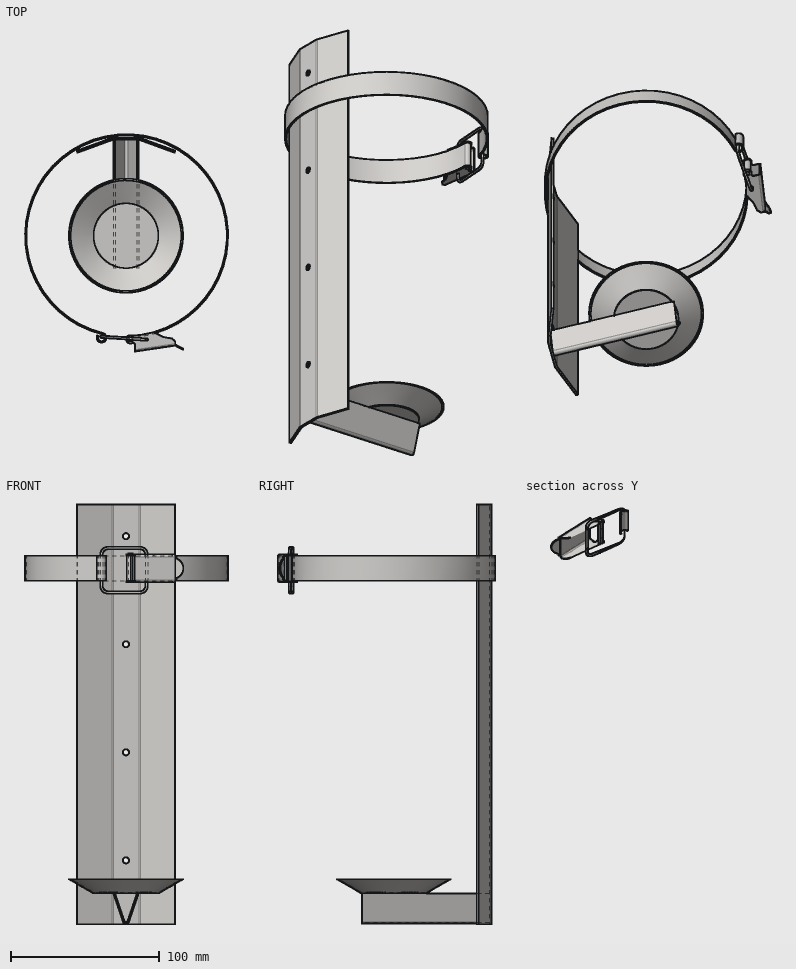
import cadquery as cq
import math


STRAP_OUTER_RADIUS = 68.37
STRAP_THICKNESS = 1.0
STRAP_WIDTH = 17.0
STRAP_Z = 239.6
STRAP_INNER_RADIUS = STRAP_OUTER_RADIUS - STRAP_THICKNESS

PIN_RADIUS = 1.4
LOOP_CURL_RADIUS = 3.3
LOOP_CURL_X = -16.85
LOOP_CURL_SWEEP = 285.0
PIN_CURL_RADIUS = PIN_RADIUS + STRAP_THICKNESS
PIN_CURL_X = 2.6
PIN_CURL_SWEEP = 180.0

WIRE_RADIUS = 0.85
LOOP_CORNER_RADIUS = 4.25
LOOP_HALF_HEIGHT = 14.9
LOOP_Z = 238.3
LOOP_CURL_BAR = (-16.85, -68.0)
LOOP_LEVER_BAR = (13.4, -69.9)

LEVER_THICKNESS = 0.8
LEVER_HALF_HEIGHT = 9.35
LEVER_BEND_RADIUS = 1.5
EAR_RADIUS = 2.9
FACE_START = (5.5, -78.05)
FACE_END = (32.8, -74.0)
FLANGE_PEAK_X = 18.3
FLANGE_SHOULDER = (24.7, -68.1)
FLANGE_NOSE = (30.6, -69.1)
FLANGE_END_Y = -71.2
FLANGE_HEEL_Y = -73.0
TAB_TIP = (38.2, -76.9)
TAB_BASE_HALF = 6.4
TAB_SHOULDER_LENGTH = 1.1
PIN_STANDOFF = 0.9

STAND_X = -0.4
PLATE_HEIGHT = 282.55
PLATE_THICKNESS = 1.5
PLATE_BACK_Y = 65.9
PLATE_HALF_WIDTH = 33.2
PLATE_FLAT_HALF = 8.5
PLATE_WING_ANGLE = 20.0
PLATE_BEND_RADIUS = 3.3
HOLE_DIAMETER = 4.0
HOLE_COUNT = 4
HOLE_FIRST_Z = 43.1
HOLE_PITCH = 72.7

DISH_FLOOR_RADIUS = 21.75
DISH_RIM_RADIUS = 38.5
DISH_BOTTOM_Z = 20.8
DISH_RIM_Z = 30.5
DISH_FLOOR_THICKNESS = 0.8
DISH_RIM_WIDTH = 1.3

ARM_THICKNESS = 1.1
ARM_HALF_TOP = 8.5
ARM_BEND_RADIUS = 1.1
ARM_BOTTOM_Z = 0.45
ARM_END_Y = -21.5


def polar(radius, degrees, center=(0.0, 0.0)):
    """Point at a radius and an angle from a center."""
    angle = math.radians(degrees)
    return (center[0] + radius * math.cos(angle), center[1] + radius * math.sin(angle))


def curl_center(curl_radius, x):
    """Center of a curl that leaves the strap circle tangentially at its front."""
    distance = STRAP_INNER_RADIUS + curl_radius
    return (x, -math.sqrt(distance ** 2 - x ** 2))


LOOP_CURL_CENTER = curl_center(LOOP_CURL_RADIUS, LOOP_CURL_X)
PIN_CENTER = curl_center(PIN_CURL_RADIUS, PIN_CURL_X)

PLATE_FRONT_Y = PLATE_BACK_Y - PLATE_THICKNESS


def arc_band(center, inner, outer, start, end, height):
    """Part of a ring between two angles, centered in height on Z = 0."""
    middle = (start + end) / 2
    return (
        cq.Workplane("XY")
        .moveTo(*polar(outer, start, center))
        .threePointArc(polar(outer, middle, center), polar(outer, end, center))
        .lineTo(*polar(inner, end, center))
        .threePointArc(polar(inner, middle, center), polar(inner, start, center))
        .close()
        .extrude(height / 2, both=True)
    )


def make_strap():
    """Open ring of flat strip with an outward curl at each end."""
    loop_angle = math.degrees(math.atan2(LOOP_CURL_CENTER[1], LOOP_CURL_CENTER[0]))
    pin_angle = math.degrees(math.atan2(PIN_CENTER[1], PIN_CENTER[0]))
    ring = arc_band(
        (0.0, 0.0), STRAP_INNER_RADIUS, STRAP_OUTER_RADIUS, pin_angle, loop_angle + 360, STRAP_WIDTH
    )
    loop_start = loop_angle + 180
    loop_curl = arc_band(
        LOOP_CURL_CENTER, LOOP_CURL_RADIUS - STRAP_THICKNESS, LOOP_CURL_RADIUS,
        loop_start, loop_start - LOOP_CURL_SWEEP, STRAP_WIDTH,
    )
    pin_start = pin_angle + 180
    pin_curl = arc_band(
        PIN_CENTER, PIN_RADIUS, PIN_CURL_RADIUS, pin_start, pin_start + PIN_CURL_SWEEP, STRAP_WIDTH
    )
    return ring.union(loop_curl).union(pin_curl).translate((0, 0, STRAP_Z))


def make_loop():
    """Rounded rectangle of round wire between the loop curl and the lever."""
    run_x = LOOP_LEVER_BAR[0] - LOOP_CURL_BAR[0]
    run_y = LOOP_LEVER_BAR[1] - LOOP_CURL_BAR[1]
    half_length = math.hypot(run_x, run_y) / 2
    middle = (LOOP_CURL_BAR[0] + run_x / 2, LOOP_CURL_BAR[1] + run_y / 2, LOOP_Z)
    plane = cq.Plane(origin=middle, xDir=(run_x, run_y, 0), normal=(run_y, -run_x, 0))
    outline = cq.Workplane(plane).rect(2 * half_length, 2 * LOOP_HALF_HEIGHT).val()
    path = outline.fillet2D(LOOP_CORNER_RADIUS, outline.Vertices())
    start = plane.toWorldCoords((0, LOOP_HALF_HEIGHT))
    section_plane = cq.Plane(origin=start, xDir=(0, 0, 1), normal=(run_x, run_y, 0))
    return cq.Workplane(section_plane).circle(WIRE_RADIUS).sweep(path)


def strap_inside(x):
    """Point on the front of the strap's inner surface."""
    return (x, -math.sqrt(STRAP_INNER_RADIUS ** 2 - x ** 2))


def upright(center, radius, bottom, top):
    """Vertical cylinder between two heights."""
    return cq.Workplane("XY", origin=(*center, bottom)).circle(radius).extrude(top - bottom)


def make_lever():
    """Bent channel: two side flanges with ears on the pin, a front face and a finger tab."""
    length = math.hypot(FACE_END[0] - FACE_START[0], FACE_END[1] - FACE_START[1])
    along = ((FACE_END[0] - FACE_START[0]) / length, (FACE_END[1] - FACE_START[1]) / length)
    inward = (-along[1], along[0])

    body = (
        cq.Workplane("XY")
        .moveTo(*FACE_START)
        .lineTo(*FACE_END)
        .lineTo(FACE_END[0], FLANGE_END_Y)
        .lineTo(*FLANGE_NOSE)
        .lineTo(*FLANGE_SHOULDER)
        .lineTo(*strap_inside(FLANGE_PEAK_X))
        .threePointArc(strap_inside((FLANGE_PEAK_X + PIN_CURL_X) / 2), strap_inside(PIN_CURL_X))
        .lineTo(*PIN_CENTER)
        .lineTo(FACE_START[0], FLANGE_HEEL_Y)
        .close()
        .extrude(LEVER_HALF_HEIGHT, both=True)
    )
    face_middle = ((FACE_START[0] + FACE_END[0]) / 2, (FACE_START[1] + FACE_END[1]) / 2)
    for z in (-LEVER_HALF_HEIGHT, LEVER_HALF_HEIGHT):
        corner = cq.selectors.NearestToPointSelector((*face_middle, z))
        body = body.edges(corner).fillet(LEVER_BEND_RADIUS)
    body = body.union(upright(PIN_CENTER, EAR_RADIUS, -LEVER_HALF_HEIGHT, LEVER_HALF_HEIGHT))

    channel_plane = cq.Plane(
        origin=(face_middle[0] + LEVER_THICKNESS * inward[0],
                face_middle[1] + LEVER_THICKNESS * inward[1], 0),
        xDir=(*along, 0), normal=(*inward, 0),
    )
    channel = (
        cq.Workplane(channel_plane)
        .rect(2 * length, 2 * (LEVER_HALF_HEIGHT - LEVER_THICKNESS))
        .extrude(length)
        .faces(cq.selectors.NearestToPointSelector(channel_plane.origin.toTuple()))
        .edges(cq.selectors.ParallelDirSelector(cq.Vector(*along, 0)))
        .fillet(LEVER_BEND_RADIUS - LEVER_THICKNESS)
    )
    body = body.cut(channel)
    body = body.union(make_tab())
    body = body.cut(upright(PIN_CENTER, PIN_RADIUS, -LEVER_HALF_HEIGHT, LEVER_HALF_HEIGHT))
    body = body.cut(upright(LOOP_LEVER_BAR, WIRE_RADIUS, -LEVER_HALF_HEIGHT, LEVER_HALF_HEIGHT))
    return body.translate((0, 0, STRAP_Z))


def make_tab():
    """Finger tab: a flared sheet with full-height shoulders and a round nose."""
    sheet = (
        cq.Workplane("XY")
        .polyline([
            FACE_END,
            TAB_TIP,
            (TAB_TIP[0], TAB_TIP[1] + LEVER_THICKNESS),
            (FACE_END[0], FACE_END[1] + LEVER_THICKNESS),
        ])
        .close()
        .extrude(LEVER_HALF_HEIGHT, both=True)
    )
    shoulder_half = LEVER_HALF_HEIGHT - LEVER_BEND_RADIUS
    shoulder_x = FACE_END[0] + TAB_SHOULDER_LENGTH
    trim = (
        cq.Workplane("XZ")
        .moveTo(FACE_END[0], -shoulder_half)
        .lineTo(shoulder_x, -shoulder_half)
        .lineTo(shoulder_x, -TAB_BASE_HALF)
        .threePointArc((TAB_TIP[0], 0), (shoulder_x, TAB_BASE_HALF))
        .lineTo(shoulder_x, shoulder_half)
        .lineTo(FACE_END[0], shoulder_half)
        .close()
        .extrude(-FACE_START[1])
    )
    return sheet.intersect(trim)


def make_pin():
    """Hinge pin, flush with the lower flange and standing proud of the upper one."""
    bottom = STRAP_Z - LEVER_HALF_HEIGHT
    top = STRAP_Z + LEVER_HALF_HEIGHT + PIN_STANDOFF
    return upright(PIN_CENTER, PIN_RADIUS, bottom, top)


def make_plate():
    """Back plate with a flat middle and two wings bent toward the front."""
    wing = 90 - PLATE_WING_ANGLE
    bend_center = (PLATE_FLAT_HALF, PLATE_FRONT_Y - PLATE_BEND_RADIUS)
    outer_bend_radius = PLATE_BEND_RADIUS + PLATE_THICKNESS
    back_bend = polar(outer_bend_radius, wing, bend_center)
    front_bend = polar(PLATE_BEND_RADIUS, wing, bend_center)
    slope = math.tan(math.radians(PLATE_WING_ANGLE))
    back_tip = (PLATE_HALF_WIDTH, back_bend[1] - slope * (PLATE_HALF_WIDTH - back_bend[0]))
    front_tip = polar(-PLATE_THICKNESS, wing, back_tip)
    half_bend = 90 - PLATE_WING_ANGLE / 2
    half = (
        cq.Workplane("XY")
        .moveTo(0, PLATE_FRONT_Y)
        .lineTo(PLATE_FLAT_HALF, PLATE_FRONT_Y)
        .threePointArc(polar(PLATE_BEND_RADIUS, half_bend, bend_center), front_bend)
        .lineTo(*front_tip)
        .lineTo(*back_tip)
        .lineTo(*back_bend)
        .threePointArc(
            polar(outer_bend_radius, half_bend, bend_center),
            (PLATE_FLAT_HALF, PLATE_BACK_Y),
        )
        .lineTo(0, PLATE_BACK_Y)
        .close()
        .extrude(PLATE_HEIGHT)
    )
    holes = (
        cq.Workplane("XZ")
        .pushPoints([(0, HOLE_FIRST_Z + i * HOLE_PITCH) for i in range(HOLE_COUNT)])
        .circle(HOLE_DIAMETER / 2)
        .extrude(-2 * PLATE_FRONT_Y)
    )
    return half.union(half.mirror("YZ")).cut(holes).translate((STAND_X, 0, 0))


def make_dish():
    """Shallow conical dish of thin sheet with a flat floor."""
    flare = (DISH_RIM_RADIUS - DISH_FLOOR_RADIUS) / (DISH_RIM_Z - DISH_BOTTOM_Z)
    inner_floor_radius = DISH_FLOOR_RADIUS + flare * DISH_FLOOR_THICKNESS - DISH_RIM_WIDTH
    floor_z = DISH_BOTTOM_Z + DISH_FLOOR_THICKNESS
    return (
        cq.Workplane("XZ")
        .polyline([
            (0, DISH_BOTTOM_Z),
            (DISH_FLOOR_RADIUS, DISH_BOTTOM_Z),
            (DISH_RIM_RADIUS, DISH_RIM_Z),
            (DISH_RIM_RADIUS - DISH_RIM_WIDTH, DISH_RIM_Z),
            (inner_floor_radius, floor_z),
            (0, floor_z),
        ])
        .close()
        .revolve(360, (0, 0, 0), (0, 1, 0))
        .translate((STAND_X, 0, 0))
    )


def make_arm():
    """V-shaped sheet arm with a rounded bottom, from the plate to the front of the dish floor."""
    outer_radius = ARM_BEND_RADIUS + ARM_THICKNESS
    bend_center = (0, ARM_BOTTOM_Z + outer_radius)
    rise = DISH_BOTTOM_Z - bend_center[1]
    reach = math.hypot(ARM_HALF_TOP, rise)
    tangent = math.degrees(math.atan2(rise, ARM_HALF_TOP) - math.acos(outer_radius / reach))
    inner_half_top = ARM_HALF_TOP - ARM_THICKNESS / math.cos(math.radians(tangent))
    outer_right = polar(outer_radius, tangent, bend_center)
    inner_right = polar(ARM_BEND_RADIUS, tangent, bend_center)
    return (
        cq.Workplane("XZ", origin=(STAND_X, PLATE_FRONT_Y, 0))
        .moveTo(ARM_HALF_TOP, DISH_BOTTOM_Z)
        .lineTo(*outer_right)
        .threePointArc((0, ARM_BOTTOM_Z), (-outer_right[0], outer_right[1]))
        .lineTo(-ARM_HALF_TOP, DISH_BOTTOM_Z)
        .lineTo(-inner_half_top, DISH_BOTTOM_Z)
        .lineTo(-inner_right[0], inner_right[1])
        .threePointArc((0, ARM_BOTTOM_Z + ARM_THICKNESS), inner_right)
        .lineTo(inner_half_top, DISH_BOTTOM_Z)
        .close()
        .extrude(PLATE_FRONT_Y - ARM_END_Y)
    )


plate = make_plate()
dish = make_dish()
arm = make_arm()
strap = make_strap()
loop = make_loop()
lever = make_lever()
pin = make_pin()

result = cq.Compound.makeCompound([
    plate.val(), dish.val(), arm.val(), strap.val(), loop.val(), lever.val(), pin.val(),
])